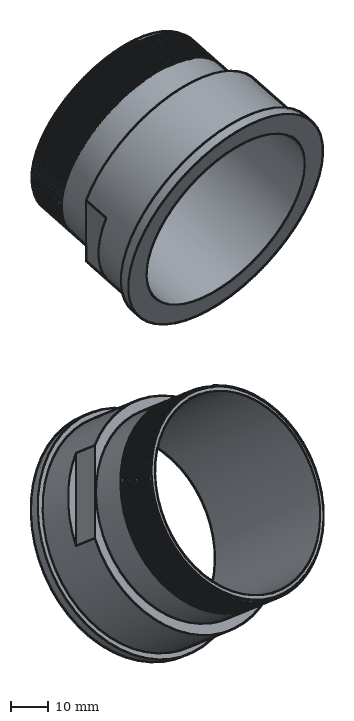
import cadquery as cq

total_length = 45.0
flange_radius = 34.9
flange_thickness = 3.0
collar_radius = 33.2
collar_start = 23.1
neck_radius = 30.1
bore_radius = 28.35

flat_offset = 30.5
flat_length = 8.0

thread_length = 12.7
thread_depth = 0.5
thread_turns = 12
first_crest = 0.55
last_crest = 12.5
start_angle = -15
ridge_fill = 0.85
ridge_embed = 0.1

root_radius = neck_radius - thread_depth
ridge_length = last_crest - first_crest
pitch = ridge_length / thread_turns
flange_start = total_length - flange_thickness


def make_body():
    """Stepped tube with a plain core where the thread goes."""
    half_section = [
        (0, bore_radius),
        (0, root_radius),
        (thread_length, root_radius),
        (thread_length, neck_radius),
        (collar_start, neck_radius),
        (collar_start, collar_radius),
        (flange_start, collar_radius),
        (flange_start, flange_radius),
        (total_length, flange_radius),
        (total_length, bore_radius),
    ]
    return cq.Workplane("XZ").polyline(half_section).close().revolve(360, (0, 0), (1, 0))


def flat_cutter(side):
    """Block outside one flat; side is -1 or 1 along Y."""
    depth = flange_radius - flat_offset
    return (
        cq.Workplane("XY")
        .box(flat_length, depth, 2 * flange_radius, centered=(False, True, True))
        .translate((collar_start, side * (flat_offset + depth / 2), 0))
    )


def make_thread():
    """Triangular helical ridge, built along Z and then turned onto X."""
    half_base = pitch * ridge_fill / 2 * (thread_depth + ridge_embed) / thread_depth
    helix = cq.Wire.makeHelix(pitch, ridge_length, root_radius)
    ridge = (
        cq.Workplane("XZ")
        .polyline([
            (root_radius - ridge_embed, -half_base),
            (neck_radius, 0),
            (root_radius - ridge_embed, half_base),
        ])
        .close()
        .sweep(cq.Workplane(obj=helix), isFrenet=True)
    )
    ridge = ridge.rotate((0, 0, 0), (0, 1, 0), 90)
    ridge = ridge.rotate((0, 0, 0), (1, 0, 0), 180 + start_angle)
    return ridge.translate((first_crest, 0, 0))


result = make_body()
for side in (-1, 1):
    result = result.cut(flat_cutter(side))
result = result.union(make_thread())